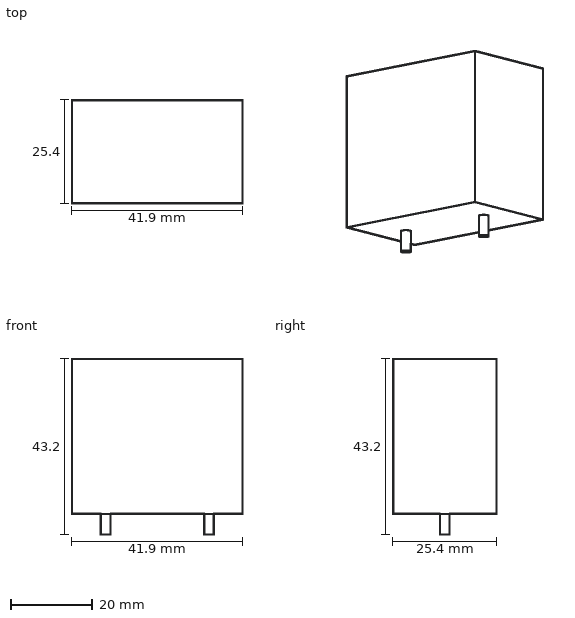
import cadquery as cq

overall_height = 43.2
housing_length = 41.9
housing_width = 25.4

pin_diameter = 2.4
pin_length = 5.1
pin_spacing = 25.4

housing_height = overall_height - pin_length


def make_housing():
    """Plain block centred on the Z axis, with its underside at Z = 0."""
    return cq.Workplane("XY").box(
        housing_length, housing_width, housing_height, centered=(True, True, False)
    )


def make_pin(x):
    """Round pin hanging from the underside of the housing, on its centreline."""
    return cq.Workplane("XY").center(x, 0).circle(pin_diameter / 2).extrude(-pin_length)


housing = make_housing()
pins = [make_pin(side * pin_spacing / 2) for side in (-1, 1)]

result = cq.Compound.makeCompound([housing.val(), *[pin.val() for pin in pins]])